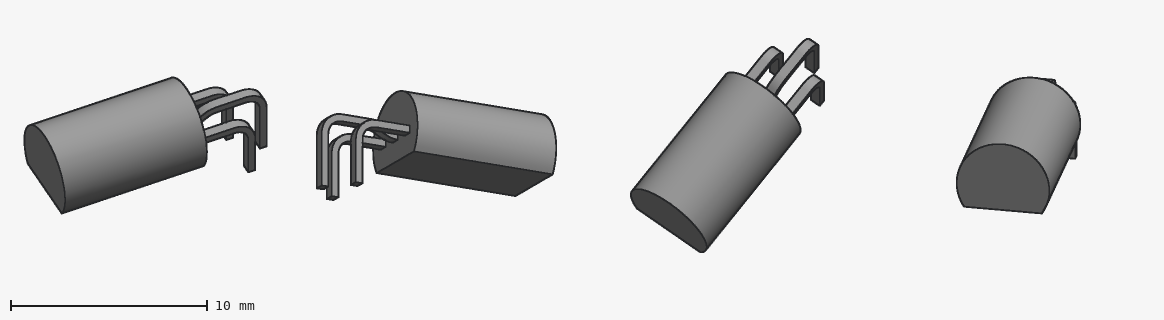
import cadquery as cq
import math

overall_length = 12.39
housing_length = 8.0
housing_diameter = 4.82
housing_radius = housing_diameter / 2
flat_depth = 1.31

lead_width = 0.56
lead_thickness = 0.38
lead_pitch = 1.3
lead_drop = 2.0
bend_inner_radius = 0.79
row_spacing = 1.28
middle_rise = 0.5
jog_length = 1.6

tip_z = -flat_depth - lead_drop
bend_radius = bend_inner_radius + lead_thickness / 2
middle_leg_y = overall_length - housing_length - lead_thickness / 2
outer_leg_y = middle_leg_y - row_spacing


def make_housing():
    """Round front outline closed by the flat, extruded forward from the rear face."""
    flat_half_width = math.sqrt(housing_radius**2 - flat_depth**2)
    return (
        cq.Workplane("XZ")
        .moveTo(-flat_half_width, -flat_depth)
        .threePointArc((0, housing_radius), (flat_half_width, -flat_depth))
        .close()
        .extrude(housing_length)
    )


def add_leg(path, leg_y, run_z):
    """Continue a centreline along its level run, round the bend and down to the tip."""
    bend_start_y = leg_y - bend_radius
    bend_middle = (
        bend_start_y + bend_radius * math.sin(math.pi / 4),
        run_z - bend_radius * (1 - math.cos(math.pi / 4)),
    )
    return (
        path.lineTo(bend_start_y, run_z)
        .threePointArc(bend_middle, (leg_y, run_z - bend_radius))
        .lineTo(leg_y, tip_z)
    )


def sweep_lead(path, x):
    """Sweep the rectangular lead section along a centreline and place it at x."""
    section = cq.Workplane("XZ").rect(lead_width, lead_thickness)
    return section.sweep(path).translate((x, 0, 0))


def make_outer_lead(x):
    """Lead that runs straight back from the housing axis before bending down."""
    return sweep_lead(add_leg(cq.Workplane("YZ"), outer_leg_y, 0), x)


def make_middle_lead():
    """Lead that rises through two equal, opposite arcs before its level run."""
    jog_middle = (jog_length / 2, middle_rise / 2)
    jog_angle = 2 * math.atan(middle_rise / jog_length)
    jog_radius = jog_length / (2 * math.sin(jog_angle))
    half_arc_y = jog_radius * math.sin(jog_angle / 2)
    half_arc_z = jog_radius * (1 - math.cos(jog_angle / 2))
    path = (
        cq.Workplane("YZ")
        .threePointArc((half_arc_y, half_arc_z), jog_middle)
        .threePointArc((jog_length - half_arc_y, middle_rise - half_arc_z), (jog_length, middle_rise))
    )
    return sweep_lead(add_leg(path, middle_leg_y, middle_rise), 0)


housing = make_housing()
middle_lead = make_middle_lead()
outer_leads = [make_outer_lead(side * lead_pitch) for side in (-1, 1)]

result = cq.Compound.makeCompound(
    [housing.val(), middle_lead.val(), *[lead.val() for lead in outer_leads]]
)